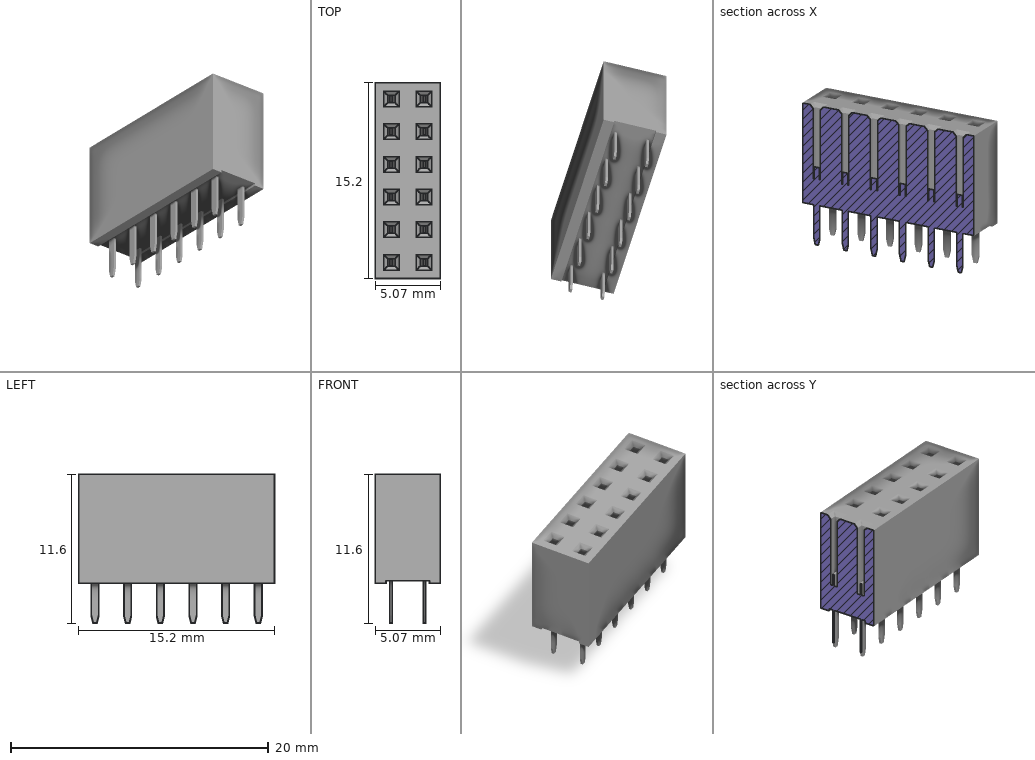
import cadquery as cq

length = 15.24
width = 5.07
body_height = 8.5
rail_width = 0.85
rail_height = 0.2

contacts_per_row = 6
rows = 2
pitch = length / contacts_per_row

mouth_size = 1.2
hole_size = 0.6
funnel_depth = 0.3
socket_depth = 6.1

blade_thickness = 0.2
blade_width = 0.6
blade_row_spacing = 2.59
pin_length = 3.1
tip_length = 0.6
tip_width = 0.3
tongue_width = 0.5
tongue_height = 0.99

socket_floor = body_height - socket_depth


def repeat(item, row_spacing):
    """Copies of an item at all contact places, with the given distance between the rows."""
    places = cq.Workplane("XY").rarray(row_spacing, pitch, rows, contacts_per_row)
    return places.eachpoint(lambda place: item.val().moved(place), combine=False)


def make_housing():
    """Block with a shallow relief along the bottom, leaving a rail on each side."""
    block = cq.Workplane("XY").box(width, length, body_height, centered=(True, True, False))
    relief_width = width - 2 * rail_width
    relief = cq.Workplane("XY").box(relief_width, length, rail_height, centered=(True, True, False))
    return block.cut(relief)


def make_socket():
    """Cutting solid of one socket, on the Z axis."""
    funnel = (
        cq.Workplane("XY", origin=(0, 0, body_height))
        .rect(mouth_size, mouth_size)
        .workplane(offset=-funnel_depth)
        .rect(hole_size, hole_size)
        .loft(ruled=True)
    )
    hole_depth = socket_depth - funnel_depth
    hole = (
        cq.Workplane("XY", origin=(0, 0, socket_floor))
        .rect(hole_size, hole_size)
        .extrude(hole_depth)
    )
    return funnel.union(hole)


def make_contact():
    """One flat contact, on the Z axis."""
    half_blade = blade_width / 2
    half_tip = tip_width / 2
    half_tongue = tongue_width / 2
    tongue_top = socket_floor + tongue_height
    right_side = [
        (half_tip, -pin_length),
        (half_blade, tip_length - pin_length),
        (half_blade, socket_floor),
        (half_tongue, socket_floor),
        (half_tongue, tongue_top),
    ]
    left_side = [(-y, z) for y, z in reversed(right_side)]
    return (
        cq.Workplane("YZ")
        .polyline(right_side + left_side)
        .close()
        .extrude(blade_thickness / 2, both=True)
    )


sockets = repeat(make_socket(), pitch)
contacts = repeat(make_contact(), blade_row_spacing)
result = make_housing().cut(sockets).union(contacts)